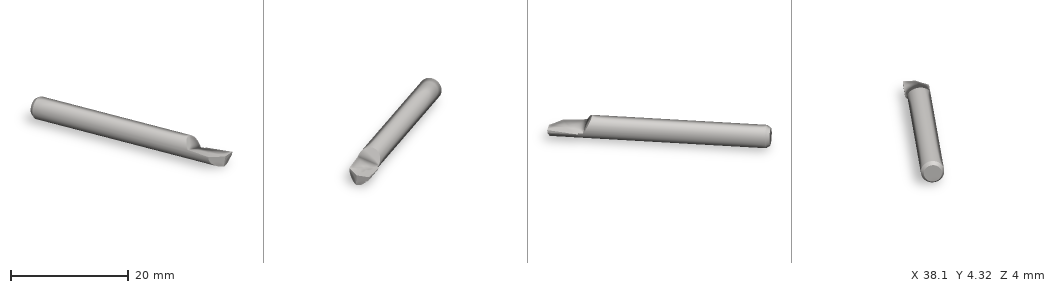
import cadquery as cq
import math

length = 38.1
shank_diameter = 4.0
shank_radius = shank_diameter / 2
rear_chamfer_length = 0.7
rear_chamfer_width = 0.45

wall_top_x = 30.7
wall_run_per_drop = 0.58
wall_skew = 0.09

rake_start_height_near = 0.42
rake_start_height_far = -0.65
tip_height = -0.08

lip_start_x = 32.8
lip_reach = 2.32
lip_flank_bottom = -0.55
lip_middle = (2.17, -0.8)
lip_bottom = (1.68, -1.03)

nose_relief_angle = 7
nose_start_x = 35.95
nose_end_y = 0.1

margin = 2 * shank_diameter


def make_shank():
    blank = cq.Workplane("YZ").circle(shank_radius).extrude(length)
    return blank.faces("<X").chamfer(rear_chamfer_length, rear_chamfer_width)


def make_lip():
    return (
        cq.Workplane("YZ", origin=(lip_start_x, 0, 0))
        .moveTo(0, shank_radius / 2)
        .lineTo(lip_reach, shank_radius / 2)
        .lineTo(lip_reach, lip_flank_bottom)
        .threePointArc(lip_middle, lip_bottom)
        .lineTo(0, lip_bottom[1])
        .close()
        .extrude(length - lip_start_x)
    )


def wall_x(y, z):
    """Position along X of the sloped, skewed relief wall at a given y and z."""
    return wall_top_x + wall_run_per_drop * (shank_radius - z) - wall_skew * y


def make_top_cutter():
    """Space above the rake face, closed at the rear by the relief wall."""
    edge_points = [
        (-shank_radius, rake_start_height_near),
        (lip_reach, rake_start_height_far),
        (lip_reach, shank_diameter),
        (-shank_radius, shank_diameter),
    ]
    wall_points = [(wall_x(y, z), y, z) for y, z in edge_points]
    front_points = [
        (length, -shank_radius, tip_height),
        (length, lip_reach, tip_height),
        (length, lip_reach, shank_diameter),
        (length, -shank_radius, shank_diameter),
    ]
    sections = [
        cq.Wire.makePolygon([cq.Vector(*point) for point in points], close=True)
        for points in (wall_points, front_points)
    ]
    return cq.Workplane(obj=cq.Solid.makeLoft(sections, True))


def make_front_cutter():
    relief_run = margin * math.tan(math.radians(nose_relief_angle))
    return (
        cq.Workplane("XZ")
        .moveTo(length, tip_height)
        .lineTo(length - relief_run, tip_height - margin)
        .lineTo(length + margin, tip_height - margin)
        .lineTo(length + margin, tip_height)
        .close()
        .extrude(margin, both=True)
    )


def make_nose_cutter():
    nose_slope = (nose_end_y + shank_radius) / (length - nose_start_x)
    return (
        cq.Workplane("XY", origin=(0, 0, -margin))
        .moveTo(nose_start_x - margin, -shank_radius - margin * nose_slope)
        .lineTo(length + margin, nose_end_y + margin * nose_slope)
        .lineTo(length + margin, -shank_radius - margin * nose_slope)
        .close()
        .extrude(2 * margin)
    )


body = make_shank().union(make_lip())
result = body.cut(make_top_cutter()).cut(make_front_cutter()).cut(make_nose_cutter())